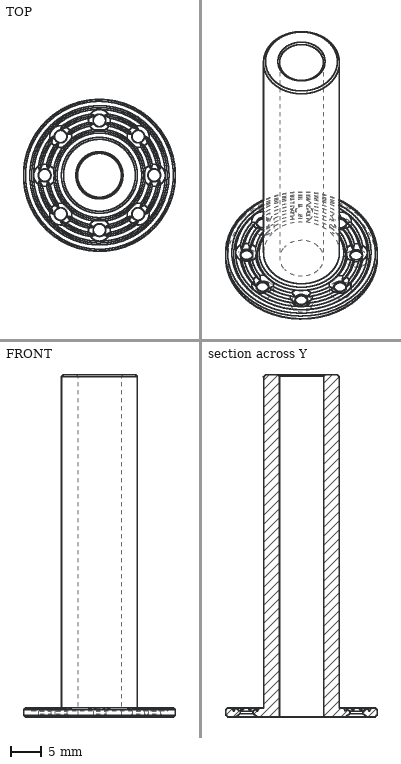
import cadquery as cq
import math

total_height = 56.25
tube_radius = 6.25
bore_radius = 3.6
tube_edge_chamfer = 0.35
bore_edge_chamfer = 0.3

flange_radius = 12.5
flange_thickness = 1.5
flange_edge_chamfer = 0.35

groove_count = 4
first_groove_radius = 7.25
groove_pitch = 1.3
groove_half_width = 0.31
groove_depth = 0.5

hole_count = 8
hole_circle_radius = 9.0
hole_diameter = 2.0
countersink_diameter = 3.6
countersink_angle = 110.0


def revolve_profile(points):
    """Solid of revolution about Z from a closed (radius, height) outline."""
    return cq.Workplane("XZ").polyline(points).close().revolve(360, (0, 0, 0), (0, 1, 0))


def make_flange():
    """Disc with both rims chamfered."""
    disc = cq.Workplane("XY").circle(flange_radius).extrude(flange_thickness)
    return disc.edges().chamfer(flange_edge_chamfer)


def make_tube():
    """Solid column, chamfered at its top rim."""
    column = cq.Workplane("XY").circle(tube_radius).extrude(total_height)
    return column.faces(">Z").edges().chamfer(tube_edge_chamfer)


def make_bore():
    """Through bore with a flared mouth at the top."""
    mouth_radius = bore_radius + bore_edge_chamfer
    profile = [
        (0, 0),
        (bore_radius, 0),
        (bore_radius, total_height - bore_edge_chamfer),
        (mouth_radius, total_height),
        (0, total_height),
    ]
    return revolve_profile(profile)


def make_groove(radius):
    """Ring of triangular section, open at the upper face of the flange."""
    profile = [
        (radius - groove_half_width, flange_thickness),
        (radius, flange_thickness - groove_depth),
        (radius + groove_half_width, flange_thickness),
    ]
    return revolve_profile(profile)


def make_screw_hole():
    """Through hole on the part axis, countersunk at both faces of the flange."""
    hole_radius = hole_diameter / 2
    sink_radius = countersink_diameter / 2
    sink_depth = (sink_radius - hole_radius) / math.tan(math.radians(countersink_angle / 2))
    profile = [
        (0, 0),
        (sink_radius, 0),
        (hole_radius, sink_depth),
        (hole_radius, flange_thickness - sink_depth),
        (sink_radius, flange_thickness),
        (0, flange_thickness),
    ]
    return revolve_profile(profile)


flange = make_flange()
for index in range(groove_count):
    flange = flange.cut(make_groove(first_groove_radius + index * groove_pitch))

screw_hole = make_screw_hole().translate((hole_circle_radius, 0, 0))
for index in range(hole_count):
    angle = index * 360 / hole_count
    flange = flange.cut(screw_hole.rotate((0, 0, 0), (0, 0, 1), angle))

result = flange.union(make_tube()).cut(make_bore())